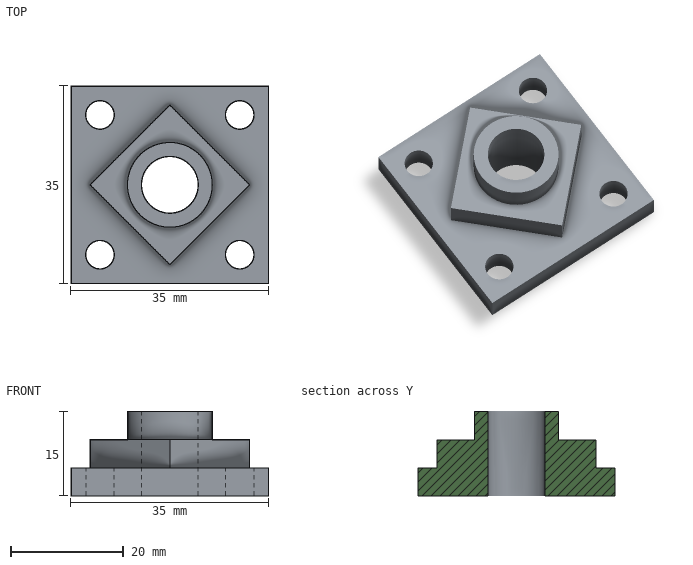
import cadquery as cq

plate_side = 35.0
total_height = 15.0
tier_height = total_height / 3
pad_side = 20.0
pad_angle = 45.0
collar_diameter = 15.0
bore_diameter = 10.0
bolt_hole_diameter = 5.0
bolt_circle_radius = plate_side / 2
bolt_hole_count = 4
first_bolt_angle = 45.0

plate = cq.Workplane("XY").rect(plate_side, plate_side).extrude(tier_height)

pad = (
    cq.Workplane("XY")
    .rect(pad_side, pad_side)
    .extrude(2 * tier_height)
    .rotate((0, 0, 0), (0, 0, 1), pad_angle)
)

collar = cq.Workplane("XY").circle(collar_diameter / 2).extrude(total_height)

bore = cq.Workplane("XY").circle(bore_diameter / 2).extrude(total_height)

bolt_holes = (
    cq.Workplane("XY")
    .polarArray(bolt_circle_radius, first_bolt_angle, 360, bolt_hole_count)
    .circle(bolt_hole_diameter / 2)
    .extrude(tier_height)
)

result = plate.union(pad).union(collar).cut(bore).cut(bolt_holes)